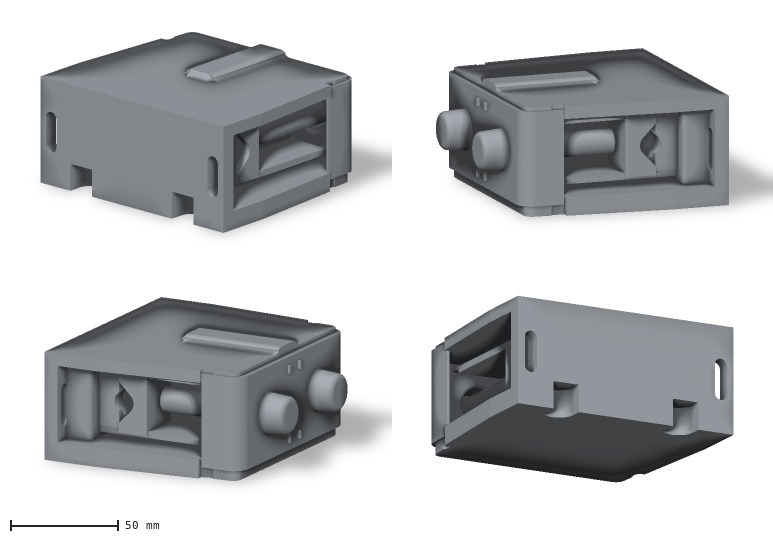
import cadquery as cq
import math

BOX_HALF_WIDTH = 57.0
BOX_HEIGHT = 52.0
BOX_DEPTH = 97.8
TAPER_START_Y = 27.4
SHOULDER_Y = 80.0
SHOULDER_HALF_WIDTH = 52.8
RELIEF_WIDTH = 0.8

MID_Z = 27.6
CAVITY_HEIGHT = 36.9
FRONT_WALL = 7.0
CORE_END_Y = 19.2
CORE_HALF_WIDTH = 47.0
CORE_ROUND = 2.2
CORE_ROOT_FILLET = 0.9

SLOT_X = 50.3
SLOT_WIDTH = 6.5
SLOT_LENGTH = 20.0
SLOT_Z = 26.0

NOTCH_X = 31.6
NOTCH_WIDTH = 13.5
NOTCH_HEIGHT = 13.2
NOTCH_DEPTH = 13.5

TRAY_HALF_WIDTH = 38.2
TRAY_OUTER_HEIGHT = 31.8
TRAY_INNER_HEIGHT = 25.6
TRAY_REAR_HEIGHT = 29.2
TRAY_END_Y = 93.0
GUIDE_HALF_WIDTH = 34.2
GUIDE_START_Y = 26.1
WEB_HALF_WIDTH = 16.0

RIB_END_Y = 47.9
RIB_NOSE_Y = 44.7
RIB_TOP_Z = 55.0
RIB_TOP_HALF = 5.5
RIB_SIDE_HALF = 8.7
RIB_BASE_HALF = 12.0
RIB_NOSE_HALF = 5.9
RIB_STEP_LOW_Z = 53.1
RIB_STEP_HIGH_Z = 53.8

COVER_HALF_WIDTH = 51.3
COVER_BACK_Y = 100.9
COVER_HEIGHT = 44.9
COVER_CORNER = 7.4
STEP_BACK_Y = 98.7
STEP_HALF_WIDTH = 43.9
ARM_INNER_FRONT_X = 50.0
ARM_INNER_REAR_X = 49.6
BEAD_X = 49.1
BEAD_FRONT_Y = 82.0
BEAD_REAR_Y = 84.9
BEAD_RUNOUT = 0.9
BEAD_NOSE_MID = (49.5, 80.8)
INNER_CORNER = 4.1

KNOB_X = 23.9
KNOB_BASE_RADIUS = 9.8
KNOB_TIP_RADIUS = 8.9
KNOB_END_Y = 112.7
KNOB_TIP_FILLET = 2.6
KNOB_ROOT_FILLET = 0.8
KNOB_WALL = 1.0
KNOB_TIP_WALL = 2.2
KNOB_MOUTH_FILLET = 1.9

ROD_RADIUS = 6.0
ROD_END_Y = 46.3
ROD_CHAMFER = 0.5

TAB_X = 4.9
TAB_WIDTH = 1.4
TAB_HEIGHT = 3.8
TAB_PROJECTION = 1.4
TAB_Z_OFFSET = 16.8

PIPE_Y = 32.6
PIPE_RADIUS = 5.3
JAW_HALF_WIDTH = 39.9
JAW_FRONT_Y = 29.9
JAW_BACK_Y = 44.8
JAW_PLATE_HEIGHT = 29.2
JAW_FLOOR_Y = 38.0
JAW_TOOTH = 4.3
JAW_BACK_FILLET = 0.9
FIXED_JAW_HALF_WIDTH = 38.8
FIXED_JAW_END_Y = 29.5
TONGUE_TAPER = 0.5
FIXED_GROOVE_END_X = 30.8

TOOTH_INNER_X = JAW_HALF_WIDTH - JAW_TOOTH
CAVITY_BOTTOM = MID_Z - CAVITY_HEIGHT / 2
BORE_END_Y = KNOB_END_Y - KNOB_TIP_WALL
COVER_BOTTOM = MID_Z - COVER_HEIGHT / 2


def block(x_range, y_range, z_range):
    """Box between the given limits along each axis."""
    corner = (x_range[0], y_range[0], z_range[0])
    size = [r[1] - r[0] for r in (x_range, y_range, z_range)]
    return cq.Workplane("XY").box(*size, centered=False).translate(corner)


def centred_block(half_width, y_range, height):
    """Box centred on X = 0 and on the clamp axis height."""
    return block((-half_width, half_width), y_range, (MID_Z - height / 2, MID_Z + height / 2))


def mirrored_pair(body):
    return body.union(body.mirror("YZ"))


def housing_plan():
    """Closed plan outline: tapered sides, snap grooves and rounded rear corners."""
    corner_mid = INNER_CORNER * (1 - math.sqrt(0.5))
    right = cq.Workplane("XY").moveTo(0, 0).lineTo(BOX_HALF_WIDTH, 0)
    right = right.lineTo(BOX_HALF_WIDTH, TAPER_START_Y).lineTo(SHOULDER_HALF_WIDTH, SHOULDER_Y)
    right = right.lineTo(ARM_INNER_FRONT_X, SHOULDER_Y)
    right = right.threePointArc(BEAD_NOSE_MID, (BEAD_X, BEAD_FRONT_Y)).lineTo(BEAD_X, BEAD_REAR_Y)
    right = right.lineTo(ARM_INNER_FRONT_X, BEAD_REAR_Y + BEAD_RUNOUT)
    right = right.lineTo(ARM_INNER_REAR_X, BOX_DEPTH - INNER_CORNER)
    right = right.threePointArc(
        (ARM_INNER_REAR_X - corner_mid, BOX_DEPTH - corner_mid),
        (ARM_INNER_REAR_X - INNER_CORNER, BOX_DEPTH),
    )
    return right.lineTo(0, BOX_DEPTH).mirrorY()


def rear_step():
    """Shallow raised panel on the rear of the box, as tall as the cover."""
    return centred_block(STEP_HALF_WIDTH, (BOX_DEPTH - 1.1, STEP_BACK_Y), COVER_HEIGHT)


def front_core():
    """Solid behind the front wall; its sides leave room for a strap."""
    core = centred_block(CORE_HALF_WIDTH, (FRONT_WALL, CORE_END_Y), CAVITY_HEIGHT)
    core = core.edges("|Z and >Y").fillet(CORE_ROUND)
    root_end_x = CORE_HALF_WIDTH + CORE_ROOT_FILLET
    root_end_y = FRONT_WALL + CORE_ROOT_FILLET
    root = (
        cq.Workplane("XY", origin=(0, 0, CAVITY_BOTTOM))
        .moveTo(CORE_HALF_WIDTH, FRONT_WALL)
        .lineTo(root_end_x, FRONT_WALL)
        .radiusArc((CORE_HALF_WIDTH, root_end_y), CORE_ROOT_FILLET)
        .close()
        .extrude(CAVITY_HEIGHT)
    )
    return core.union(mirrored_pair(root))


def tray():
    """Two shelves, their guide strips and the web that stands between the rods."""
    shelves = centred_block(TRAY_HALF_WIDTH, (CORE_END_Y, STEP_BACK_Y), TRAY_OUTER_HEIGHT)
    guides = centred_block(GUIDE_HALF_WIDTH, (GUIDE_START_Y, STEP_BACK_Y), CAVITY_HEIGHT)
    space = centred_block(BOX_HALF_WIDTH, (CORE_END_Y, TRAY_END_Y), TRAY_INNER_HEIGHT)
    web = centred_block(WEB_HALF_WIDTH, (JAW_BACK_Y, TRAY_END_Y), TRAY_INNER_HEIGHT)
    rear_space = centred_block(BOX_HALF_WIDTH, (TRAY_END_Y, STEP_BACK_Y), TRAY_REAR_HEIGHT)
    return shelves.union(guides).cut(space).cut(rear_space).union(web)


def pipe_groove(opening, x_range):
    """V groove with a round root along X, opening toward -Y (-1) or +Y (+1)."""
    tangent = PIPE_RADIUS * math.sqrt(0.5)
    reach = 13.7
    start_y = PIPE_Y - opening * tangent
    end_y = start_y + opening * reach
    return (
        cq.Workplane("YZ")
        .moveTo(start_y, MID_Z - tangent)
        .threePointArc((PIPE_Y - opening * PIPE_RADIUS, MID_Z), (start_y, MID_Z + tangent))
        .lineTo(end_y, MID_Z + tangent + reach)
        .lineTo(end_y, MID_Z - tangent - reach)
        .close()
        .extrude(x_range[1] - x_range[0])
        .translate((x_range[0], 0, 0))
    )


def fixed_jaw():
    """Jaw in front of the pipe, with a tapered tongue between the sliding jaw's teeth."""
    base = centred_block(FIXED_JAW_HALF_WIDTH, (CORE_END_Y, FIXED_JAW_END_Y), TRAY_INNER_HEIGHT)
    tip_half = TOOTH_INNER_X - TONGUE_TAPER
    tongue = (
        cq.Workplane("XY")
        .polyline([
            (-TOOTH_INNER_X, FIXED_JAW_END_Y),
            (TOOTH_INNER_X, FIXED_JAW_END_Y),
            (tip_half, JAW_FLOOR_Y),
            (-tip_half, JAW_FLOOR_Y),
        ])
        .close()
        .extrude(TRAY_INNER_HEIGHT)
        .translate((0, 0, MID_Z - TRAY_INNER_HEIGHT / 2))
    )
    groove = pipe_groove(1, (FIXED_GROOVE_END_X, JAW_HALF_WIDTH))
    return base.union(tongue).cut(mirrored_pair(groove))


def strap_slots():
    slot = cq.Workplane("XZ").center(SLOT_X, SLOT_Z).slot2D(SLOT_LENGTH, SLOT_WIDTH, 90)
    return mirrored_pair(slot.extrude(-FRONT_WALL))


def base_notches():
    """Round-ended notches in the lower front edge."""
    radius = NOTCH_WIDTH / 2
    straight = NOTCH_DEPTH - radius
    notch = block((NOTCH_X - radius, NOTCH_X + radius), (0, straight), (0, NOTCH_HEIGHT))
    end = cq.Workplane("XY").center(NOTCH_X, straight).circle(radius).extrude(NOTCH_HEIGHT)
    return mirrored_pair(notch.union(end))


def shoulder_reliefs():
    """Narrow clearance in the lower shoulders, under the cover's arms."""
    y_range = (SHOULDER_Y - RELIEF_WIDTH, SHOULDER_Y)
    return mirrored_pair(block((ARM_INNER_FRONT_X, BOX_HALF_WIDTH), y_range, (0, CAVITY_BOTTOM)))


def flat_tangent_radius(run, rise):
    """Radius of an arc that leaves a level line and climbs `rise` over `run`."""
    return (run**2 + rise**2) / (2 * rise)


def top_rib():
    """Raised rib with flared sides and a sloping nose."""
    flare_radius = flat_tangent_radius(RIB_BASE_HALF - RIB_SIDE_HALF, RIB_STEP_LOW_Z - BOX_HEIGHT)
    crown_radius = flat_tangent_radius(RIB_SIDE_HALF - RIB_TOP_HALF, RIB_TOP_Z - RIB_STEP_HIGH_Z)
    profile = (
        cq.Workplane("XZ")
        .moveTo(0, BOX_HEIGHT)
        .lineTo(RIB_BASE_HALF, BOX_HEIGHT)
        .radiusArc((RIB_SIDE_HALF, RIB_STEP_LOW_Z), flare_radius)
        .lineTo(RIB_SIDE_HALF, RIB_STEP_HIGH_Z)
        .radiusArc((RIB_TOP_HALF, RIB_TOP_Z), -crown_radius)
        .lineTo(0, RIB_TOP_Z)
        .mirrorY()
    )
    bar = profile.extrude(-BOX_DEPTH)
    body = bar.intersect(block((-RIB_BASE_HALF, RIB_BASE_HALF), (RIB_END_Y, BOX_DEPTH), (0, RIB_TOP_Z)))
    return body.union(rib_nose())


def rib_nose():
    """Faceted wedge that brings the rib's end down to the top of the box."""
    peak = cq.Vector(RIB_TOP_HALF, RIB_END_Y, RIB_TOP_Z)
    foot = cq.Vector(RIB_NOSE_HALF, RIB_NOSE_Y, BOX_HEIGHT)
    heel = cq.Vector(RIB_SIDE_HALF, RIB_END_Y, BOX_HEIGHT)
    peak_left, foot_left, heel_left = [cq.Vector(-p.x, p.y, p.z) for p in (peak, foot, heel)]
    facets = [
        (peak, peak_left, foot_left, foot),
        (peak, foot, heel),
        (peak_left, heel_left, foot_left),
        (peak, heel, heel_left, peak_left),
        (foot, foot_left, heel_left, heel),
    ]
    faces = [cq.Face.makeFromWires(cq.Wire.makePolygon(corners, close=True)) for corners in facets]
    return cq.Workplane(cq.Solid.makeSolid(cq.Shell.makeShell(faces)))


def make_housing():
    box = housing_plan().extrude(BOX_HEIGHT)
    cavity = centred_block(BOX_HALF_WIDTH, (FRONT_WALL, STEP_BACK_Y), CAVITY_HEIGHT)
    body = box.union(rear_step()).cut(cavity)
    body = body.union(front_core()).union(tray()).union(fixed_jaw()).union(top_rib())
    return body.cut(strap_slots()).cut(base_notches()).cut(shoulder_reliefs())


def cover_shell():
    """U-shaped wrap whose inside follows the rear of the box."""
    outer = block(
        (-COVER_HALF_WIDTH, COVER_HALF_WIDTH),
        (SHOULDER_Y, COVER_BACK_Y),
        (COVER_BOTTOM, COVER_BOTTOM + COVER_HEIGHT),
    )
    outer = outer.edges("|Z and >Y").fillet(COVER_CORNER)
    return outer.cut(housing_plan().extrude(BOX_HEIGHT)).cut(rear_step())


def turned(profile, y_start):
    """Body turned about the axis of the +X knob, from (radius, y) points beginning at `y_start`."""
    points = [(radius, y - y_start) for radius, y in profile]
    blank = cq.Workplane("XY").polyline(points).close().revolve(360, (0, 0, 0), (0, 1, 0))
    return blank.translate((KNOB_X, y_start, MID_Z))


def knob():
    profile = [(0, COVER_BACK_Y), (KNOB_BASE_RADIUS, COVER_BACK_Y), (KNOB_TIP_RADIUS, KNOB_END_Y), (0, KNOB_END_Y)]
    return turned(profile, COVER_BACK_Y).faces(">Y").edges().fillet(KNOB_TIP_FILLET)


def knob_bore():
    """Tapered hollow that opens into the box."""
    profile = [
        (0, STEP_BACK_Y),
        (KNOB_BASE_RADIUS - KNOB_WALL, STEP_BACK_Y),
        (KNOB_TIP_RADIUS - KNOB_WALL, BORE_END_Y),
        (0, BORE_END_Y),
    ]
    return turned(profile, STEP_BACK_Y)


def rod():
    profile = [
        (0, ROD_END_Y),
        (ROD_RADIUS - ROD_CHAMFER, ROD_END_Y),
        (ROD_RADIUS, ROD_END_Y + ROD_CHAMFER),
        (ROD_RADIUS, BORE_END_Y),
        (0, BORE_END_Y),
    ]
    return turned(profile, ROD_END_Y)


def tabs():
    """Four small tabs on the back of the cover."""
    spots = [(x * TAB_X, MID_Z + z * TAB_Z_OFFSET) for x in (-1, 1) for z in (-1, 1)]
    plane = cq.Workplane("XZ", origin=(0, COVER_BACK_Y, 0))
    return plane.pushPoints(spots).rect(TAB_WIDTH, TAB_HEIGHT).extrude(-TAB_PROJECTION)


def round_edges_at(y):
    """Selector for the circular edges around the knob axes at depth `y`."""
    reach = 11.4
    near = (-KNOB_X - reach, y - 0.1, MID_Z - reach)
    far = (KNOB_X + reach, y + 0.1, MID_Z + reach)
    return cq.selectors.TypeSelector("CIRCLE") & cq.selectors.BoxSelector(near, far)


def make_cover():
    body = cover_shell().union(mirrored_pair(knob())).cut(mirrored_pair(knob_bore()))
    body = body.edges(round_edges_at(COVER_BACK_Y)).fillet(KNOB_ROOT_FILLET)
    body = body.edges(round_edges_at(STEP_BACK_Y)).fillet(KNOB_MOUTH_FILLET)
    return body.union(mirrored_pair(rod())).union(tabs())


def make_sliding_jaw():
    """Jaw behind the pipe: a bar between the shelves with a grooved end plate on each side."""
    bar = centred_block(JAW_HALF_WIDTH, (JAW_FRONT_Y, JAW_BACK_Y), TRAY_INNER_HEIGHT)
    plates = centred_block(JAW_HALF_WIDTH, (JAW_FRONT_Y, JAW_BACK_Y), JAW_PLATE_HEIGHT)
    between_plates = centred_block(TRAY_HALF_WIDTH, (JAW_FRONT_Y, JAW_BACK_Y), JAW_PLATE_HEIGHT)
    tongue_space = centred_block(TOOTH_INNER_X, (JAW_FRONT_Y, JAW_FLOOR_Y), TRAY_INNER_HEIGHT)
    body = bar.cut(tongue_space).union(plates.cut(between_plates))
    body = body.edges("|Z and >Y").edges("<X or >X").fillet(JAW_BACK_FILLET)
    return body.cut(mirrored_pair(pipe_groove(-1, (TOOTH_INNER_X, JAW_HALF_WIDTH))))


housing = make_housing()
cover = make_cover()
sliding_jaw = make_sliding_jaw()

result = cq.Compound.makeCompound([body.solids().val() for body in (housing, cover, sliding_jaw)])